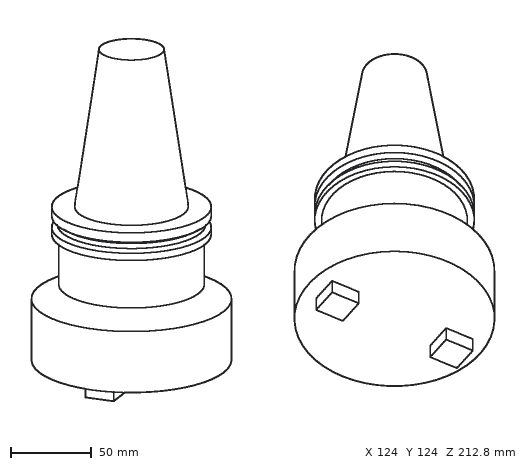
import cadquery as cq
import math

total_height = 212.8
key_height = 9.5
head_top = 49.5
neck_bottom = 59.2
flange_bottom = 91.7
flange_top = 109.8
collar_height = 1.5

head_radius = 62.0
neck_radius = 45.1
flange_radius = 49.4
gauge_radius = 35.1
taper_tip_radius = 20.2

lower_rim_height = 4.7
upper_rim_height = 6.2
groove_depth = 3.5
groove_flank_angle = 30.0

key_width = 19.0
key_length = 19.4
key_outer_reach = 51.0


def turned_body():
    """Head, neck, grooved flange and taper revolved about Z."""
    groove_bottom = flange_bottom + lower_rim_height
    groove_top = flange_top - upper_rim_height
    groove_radius = flange_radius - groove_depth
    flank_rise = groove_depth * math.tan(math.radians(groove_flank_angle))
    taper_bottom = flange_top + collar_height
    profile = [
        (0, key_height),
        (head_radius, key_height),
        (head_radius, head_top),
        (neck_radius, neck_bottom),
        (neck_radius, flange_bottom),
        (flange_radius, flange_bottom),
        (flange_radius, groove_bottom),
        (groove_radius, groove_bottom + flank_rise),
        (groove_radius, groove_top - flank_rise),
        (flange_radius, groove_top),
        (flange_radius, flange_top),
        (gauge_radius, flange_top),
        (gauge_radius, taper_bottom),
        (taper_tip_radius, total_height),
        (0, total_height),
    ]
    return cq.Workplane("XZ").polyline(profile).close().revolve(360, (0, 0, 0), (0, 1, 0))


def drive_keys():
    """Two rectangular keys below the head, opposite each other along Y."""
    key_offset = key_outer_reach - key_length / 2
    return (
        cq.Workplane("XY")
        .pushPoints([(0, -key_offset), (0, key_offset)])
        .rect(key_width, key_length)
        .extrude(key_height)
    )


result = turned_body().union(drive_keys())